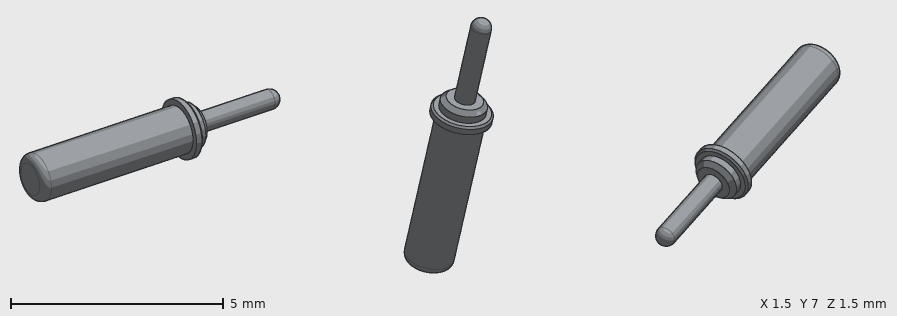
import cadquery as cq
import math

barrel_diameter = 1.2
barrel_length = 4.2
barrel_end_fillet = 0.2
flange_diameter = 1.5
flange_thickness = 0.2
flange_edge_chamfer = 0.05
collar_diameter = 1.14
collar_length = 0.3
collar_chamfer = 0.12
pin_diameter = 0.5
pin_length = 2.3

barrel_radius = barrel_diameter / 2
flange_radius = flange_diameter / 2
collar_radius = collar_diameter / 2
pin_radius = pin_diameter / 2

barrel_end = -barrel_length
flange_front = flange_thickness
collar_front = flange_front + collar_length
pin_tip = collar_front + pin_length
pin_shoulder = pin_tip - pin_radius

diagonal = math.sqrt(0.5)
fillet_middle = (
    barrel_radius - barrel_end_fillet * (1 - diagonal),
    barrel_end + barrel_end_fillet * (1 - diagonal),
)
tip_middle = (pin_radius * diagonal, pin_shoulder + pin_radius * diagonal)


def half_profile():
    """Closed outline of half the lengthwise section: X is radius, Y is the axis."""
    return (
        cq.Workplane("XY")
        .moveTo(0, barrel_end)
        .lineTo(barrel_radius - barrel_end_fillet, barrel_end)
        .threePointArc(fillet_middle, (barrel_radius, barrel_end + barrel_end_fillet))
        .lineTo(barrel_radius, 0)
        .lineTo(flange_radius, 0)
        .lineTo(flange_radius, flange_front - flange_edge_chamfer)
        .lineTo(flange_radius - flange_edge_chamfer, flange_front)
        .lineTo(collar_radius, flange_front)
        .lineTo(collar_radius, collar_front - collar_chamfer)
        .lineTo(collar_radius - collar_chamfer, collar_front)
        .lineTo(pin_radius, collar_front)
        .lineTo(pin_radius, pin_shoulder)
        .threePointArc(tip_middle, (0, pin_tip))
        .close()
    )


result = half_profile().revolve(360, (0, 0, 0), (0, 1, 0))